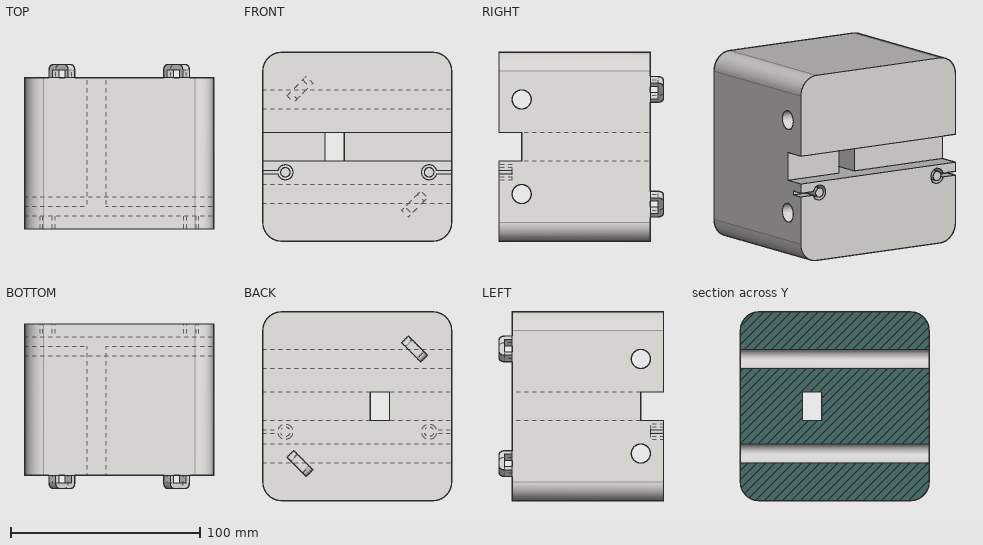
import cadquery as cq

block_side = 100.0
block_depth = 80.0
corner_radius = 10.0

groove_height = 15.0
groove_depth = 12.0
window_width = 10.0
window_center_x = -12.0

cross_hole_diameter = 10.0
cross_hole_y = 12.0
cross_hole_z = 25.0

pin_diameter = 5.0
ring_diameter = 8.0
ring_x = 38.0
ring_z = -13.5
ring_depth = 7.0
slit_height = 2.0

loop_height = 7.0
loop_width = 14.4
loop_thickness = 5.0
loop_opening_width = 9.2
loop_opening_height = 4.0
loop_radius = 3.0
loop_offset = 30.3
loop_angle = -45.0


def box_from_front(width, depth, height, x=0.0, z=0.0):
    """Box centred on x and z that starts at the front face."""
    return cq.Workplane("XY").box(width, depth, height).translate((x, depth / 2, z))


def cylinder_from_front(diameter, depth, x, z):
    """Cylinder along Y that starts at the front face."""
    return cq.Workplane("XZ", origin=(x, 0, z)).circle(diameter / 2).extrude(-depth)


def make_block():
    block = box_from_front(block_side, block_depth, block_side)
    return block.edges("|Y").fillet(corner_radius)


def make_groove():
    groove = box_from_front(block_side, groove_depth, groove_height)
    window = box_from_front(window_width, block_depth, groove_height, x=window_center_x)
    return groove.union(window)


def make_cross_holes():
    return (
        cq.Workplane("YZ", origin=(-block_side / 2, 0, 0))
        .pushPoints([(cross_hole_y, cross_hole_z), (cross_hole_y, -cross_hole_z)])
        .circle(cross_hole_diameter / 2)
        .extrude(block_side)
    )


def make_ring_recess(side):
    """Ring recess and its slit; side is -1 for left and +1 for right."""
    center_x = side * ring_x
    slit_length = block_side / 2 - ring_x
    slit_center_x = side * (block_side / 2 + ring_x) / 2
    ring = cylinder_from_front(ring_diameter, ring_depth, center_x, ring_z)
    slit = box_from_front(slit_length, ring_depth, slit_height, x=slit_center_x, z=ring_z)
    pin = cylinder_from_front(pin_diameter, ring_depth, center_x, ring_z)
    return ring.union(slit).cut(pin)


def make_loop(x, z):
    """Square arch with rounded outer corners, standing on the back face."""
    arch = (
        cq.Workplane("XY")
        .box(loop_width, loop_height, loop_thickness)
        .translate((0, loop_height / 2, 0))
        .edges("|Z and >Y")
        .fillet(loop_radius)
    )
    opening = box_from_front(loop_opening_width, loop_opening_height, loop_thickness)
    loop = arch.cut(opening).rotate((0, 0, 0), (0, 1, 0), loop_angle)
    return loop.translate((x, block_depth, z))


result = make_block().cut(make_groove()).cut(make_cross_holes())
for side in (-1, 1):
    result = result.cut(make_ring_recess(side))
    result = result.union(make_loop(side * loop_offset, -side * loop_offset))